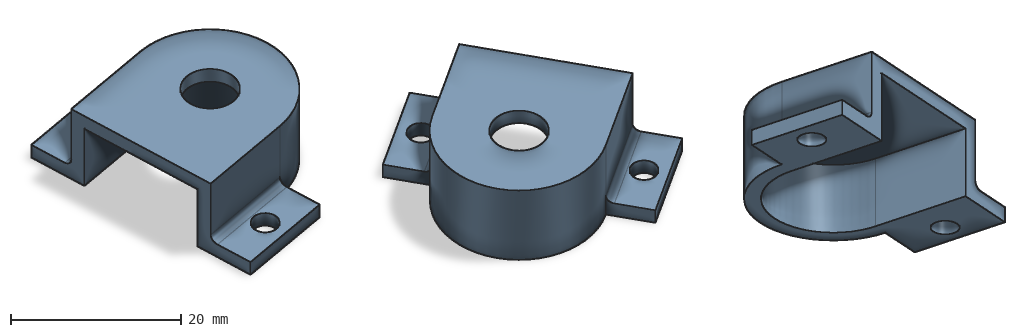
import cadquery as cq

wall = 2.0
housing_width = 21.0
housing_height = 11.0
straight_length = 13.0
overall_width = 33.0
bore_diameter = 7.0
screw_hole_diameter = 3.4
screw_hole_spacing = 27.0
root_fillet_radius = 1.0

outer_radius = housing_width / 2
inner_radius = outer_radius - wall
cavity_height = housing_height - wall
front_y = -straight_length
screw_hole_y = front_y / 2


def u_shaped_block(radius, height):
    """Block with a half-round back and straight sides running to the front face."""
    return (
        cq.Workplane("XY")
        .moveTo(-radius, front_y)
        .lineTo(radius, front_y)
        .lineTo(radius, 0)
        .threePointArc((0, radius), (-radius, 0))
        .close()
        .extrude(height)
    )


def flange_strip():
    """Mounting flanges on both sides, with a concave fillet up to each housing wall."""
    half_width = overall_width / 2
    fillet_end_x = outer_radius + root_fillet_radius
    fillet_top_z = wall + root_fillet_radius
    return (
        cq.Workplane("XZ")
        .moveTo(-half_width, 0)
        .lineTo(half_width, 0)
        .lineTo(half_width, wall)
        .lineTo(fillet_end_x, wall)
        .radiusArc((outer_radius, fillet_top_z), root_fillet_radius)
        .lineTo(-outer_radius, fillet_top_z)
        .radiusArc((-fillet_end_x, wall), root_fillet_radius)
        .lineTo(-half_width, wall)
        .close()
        .extrude(straight_length)
    )


def screw_holes():
    """Vertical cutters for the two flange screw holes."""
    half_spacing = screw_hole_spacing / 2
    return (
        cq.Workplane("XY")
        .pushPoints([(-half_spacing, screw_hole_y), (half_spacing, screw_hole_y)])
        .circle(screw_hole_diameter / 2)
        .extrude(wall)
    )


def roof_bore():
    """Vertical cutter for the bore through the housing roof."""
    return cq.Workplane("XY").circle(bore_diameter / 2).extrude(housing_height)


housing = u_shaped_block(outer_radius, housing_height)
cavity = u_shaped_block(inner_radius, cavity_height)

result = housing.union(flange_strip()).cut(cavity).cut(screw_holes()).cut(roof_bore())